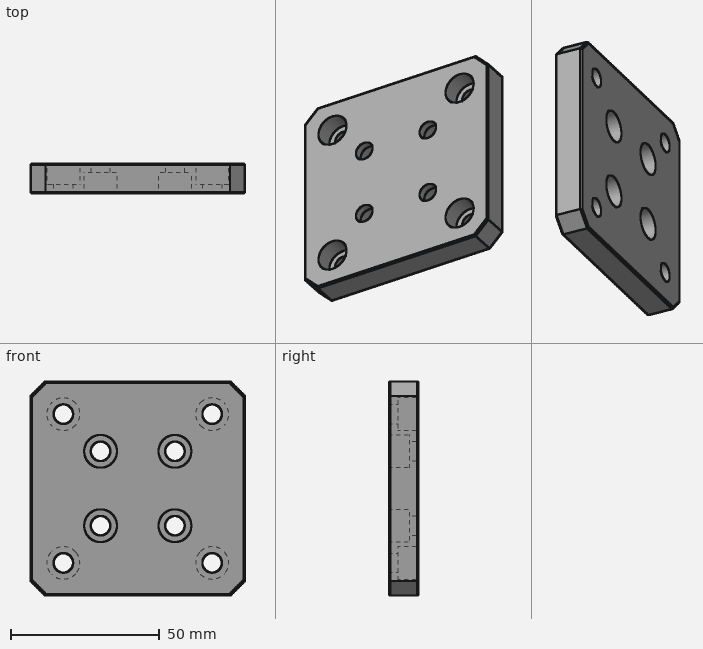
import cadquery as cq

side = 72.0
thickness = 10.0
corner_chamfer = 5.0
edge_chamfer = 0.5

hole_diameter = 6.5
outer_spacing = 50.0
inner_spacing = outer_spacing / 2
counterbore_diameter = 11.0
counterbore_depth = 7.0


def chamfered_plate():
    """Square plate with cut corners and a small chamfer around both faces."""
    block = cq.Workplane("XY").box(side, thickness, side)
    block = block.edges("|Y").chamfer(corner_chamfer)
    return block.faces("<Y or >Y").chamfer(edge_chamfer)


def counterbored_holes(plate, entry_face, spacing):
    """Four through holes on a square, counterbored from the chosen face."""
    face = plate.faces(entry_face).workplane(centerOption="CenterOfBoundBox")
    centres = face.rect(spacing, spacing, forConstruction=True).vertices()
    return centres.cboreHole(hole_diameter, counterbore_diameter, counterbore_depth)


result = chamfered_plate()
result = counterbored_holes(result, "<Y", inner_spacing)
result = counterbored_holes(result, ">Y", outer_spacing)